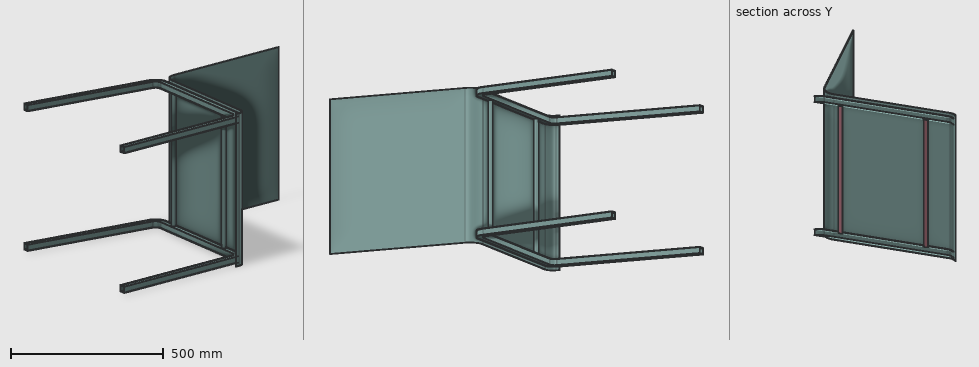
import cadquery as cq
import math


overall_height = 1032.66
overall_depth = 656.64
seat_width = 521.19

tube_size = 22.2
tube_wall = 1.5
frame_height = 529.0
frame_inner_bend = 18.5
frame_spacing = 477.0
leg_tilt = math.radians(10)

bar_diameter = 15.87
rear_bar_x = 103.3
bar_spacing = 300.0

sheet_thickness = 2.5
back_tilt = math.radians(10)
back_bend_start_x = 74.2
back_bend_radius = 50.0
lip_bend_radius = 28.0
lip_depth = 38.0

back_end_height = frame_height + back_bend_radius * (1 - math.sin(back_tilt))
back_bend_end_x = back_bend_start_x - back_bend_radius * math.cos(back_tilt)
back_top_x = back_bend_end_x - (overall_height - back_end_height) * math.tan(back_tilt)
floor_front_x = back_top_x + overall_depth
bar_y = frame_height - tube_size / 2
bar_length = frame_spacing - tube_size


def front_face_x(depth, y):
    """X at height y of a line parallel to the front leg, depth inside its outer face."""
    return floor_front_x - depth / math.cos(leg_tilt) - y * math.tan(leg_tilt)


def frame_side(depth):
    """Points of the bent line that lies depth inside the outer face of the frame."""
    radius = frame_inner_bend + tube_size - depth
    top = frame_height - depth
    bend_y = frame_height - tube_size - frame_inner_bend
    rear_centre_x = tube_size + frame_inner_bend
    front_centre_x = front_face_x(tube_size + frame_inner_bend, bend_y)

    def on_bend(centre_x, angle):
        return (centre_x + radius * math.cos(angle), bend_y + radius * math.sin(angle))

    return {
        "rear_foot": (depth, 0),
        "rear_low": on_bend(rear_centre_x, math.pi),
        "rear_mid": on_bend(rear_centre_x, 0.75 * math.pi),
        "rear_high": (rear_centre_x, top),
        "front_high": (front_centre_x, top),
        "front_mid": on_bend(front_centre_x, (leg_tilt + math.pi / 2) / 2),
        "front_low": on_bend(front_centre_x, leg_tilt),
        "front_foot": (front_face_x(depth, 0), 0),
    }


def bent_bar(outer_depth, inner_depth, width):
    """Bent bar between two depths of the frame, centred on Z = 0."""
    outer = frame_side(outer_depth)
    inner = frame_side(inner_depth)
    return (
        cq.Workplane("XY")
        .moveTo(*outer["rear_foot"])
        .lineTo(*outer["rear_low"])
        .threePointArc(outer["rear_mid"], outer["rear_high"])
        .lineTo(*outer["front_high"])
        .threePointArc(outer["front_mid"], outer["front_low"])
        .lineTo(*outer["front_foot"])
        .lineTo(*inner["front_foot"])
        .lineTo(*inner["front_low"])
        .threePointArc(inner["front_mid"], inner["front_high"])
        .lineTo(*inner["rear_high"])
        .threePointArc(inner["rear_mid"], inner["rear_low"])
        .lineTo(*inner["rear_foot"])
        .close()
        .extrude(width / 2, both=True)
    )


def side_frame(z):
    """Hollow square tube frame, open at both feet."""
    tube = bent_bar(0, tube_size, tube_size)
    bore = bent_bar(tube_wall, tube_size - tube_wall, tube_size - 2 * tube_wall)
    return tube.cut(bore).translate((0, 0, z))


def cross_bar(x):
    """Round bar between the two side frames."""
    return (
        cq.Workplane("XY")
        .workplane(offset=-bar_length / 2)
        .center(x, bar_y)
        .circle(bar_diameter / 2)
        .extrude(bar_length)
    )


def sheet_side(height):
    """Points of the bent line that lies height above the underside of the seat sheet."""
    seat_y = frame_height + height
    back_radius = back_bend_radius - height
    back_centre_y = frame_height + back_bend_radius
    back_end_angle = back_tilt - math.pi
    lip_radius = lip_bend_radius + height
    lip_centre_y = frame_height - lip_bend_radius
    lip_centre_x = front_face_x(lip_bend_radius, lip_centre_y)

    def on_back(angle):
        return (
            back_bend_start_x + back_radius * math.cos(angle),
            back_centre_y + back_radius * math.sin(angle),
        )

    def on_lip(angle):
        return (
            lip_centre_x + lip_radius * math.cos(angle),
            lip_centre_y + lip_radius * math.sin(angle),
        )

    back_low = on_back(back_end_angle)
    back_rise = overall_height - back_low[1]
    lip_y = frame_height + sheet_thickness - lip_depth
    return {
        "back_top": (back_low[0] - back_rise * math.tan(back_tilt), overall_height),
        "back_low": back_low,
        "back_mid": on_back((back_end_angle - math.pi / 2) / 2),
        "seat_rear": (back_bend_start_x, seat_y),
        "seat_front": (lip_centre_x, seat_y),
        "lip_mid": on_lip((leg_tilt + math.pi / 2) / 2),
        "lip_low": on_lip(leg_tilt),
        "lip_end": (front_face_x(-height, lip_y), lip_y),
    }


def seat_sheet():
    """Backrest, seat and front lip bent from one sheet."""
    lower = sheet_side(0)
    upper = sheet_side(sheet_thickness)
    return (
        cq.Workplane("XY")
        .moveTo(*lower["back_top"])
        .lineTo(*lower["back_low"])
        .threePointArc(lower["back_mid"], lower["seat_rear"])
        .lineTo(*lower["seat_front"])
        .threePointArc(lower["lip_mid"], lower["lip_low"])
        .lineTo(*lower["lip_end"])
        .lineTo(*upper["lip_end"])
        .lineTo(*upper["lip_low"])
        .threePointArc(upper["lip_mid"], upper["seat_front"])
        .lineTo(*upper["seat_rear"])
        .threePointArc(upper["back_mid"], upper["back_low"])
        .lineTo(*upper["back_top"])
        .close()
        .extrude(seat_width / 2, both=True)
    )


seat = seat_sheet()
frames = [side_frame(side * frame_spacing / 2) for side in (-1, 1)]
bars = [cross_bar(rear_bar_x + index * bar_spacing) for index in range(2)]

result = cq.Compound.makeCompound(
    [seat.val(), *[frame.val() for frame in frames], *[bar.val() for bar in bars]]
)